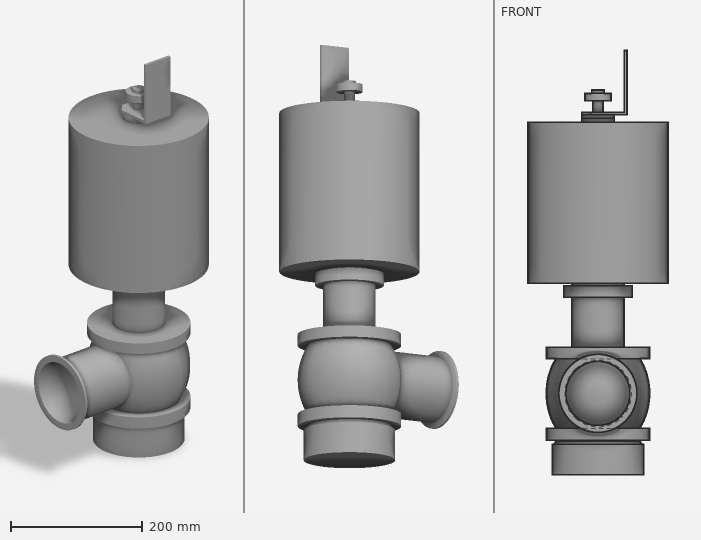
import cadquery as cq

base_dia = 139.5
base_top = 46.5
shoulder_dia = 134.0
shoulder_top = 51.0
neck_dia = 128.0
flange_dia = 158.0
lower_flange_bottom = 52.5
lower_flange_top = 71.0
upper_flange_bottom = 177.0
upper_flange_top = 194.5
bulb_end_dia = neck_dia
bulb_dia = flange_dia
bulb_mid_z = (lower_flange_top + upper_flange_bottom) / 2

stem_dia = 80.0
collar_dia = 105.0
collar_bottom = 270.0
collar_top = 288.0
actuator_dia = 214.0
actuator_bottom = 291.5
actuator_top = 537.0

overall_depth = 267.0
port_face_y = actuator_dia / 2 - overall_depth
port_dia = 101.5
port_bore_dia = 97.5
ferrule_dia = 119.0
ferrule_rim = 4.0
ferrule_length = 8.0

boss_dia = 50.0
boss_top = 543.0
bracket_bottom = 548.0
bracket_thickness = 4.5
bracket_top = 646.5
bracket_width = boss_dia
bracket_right_x = 44.5
bracket_corner = 13.5
spindle_dia = 16.0
knob_dia = 40.0
knob_bottom = 569.5
knob_top = 581.0
tip_dia = 19.5
tip_top = 586.0


def disc(diameter, bottom, top):
    """Cylinder on the Z axis between two heights."""
    return cq.Workplane("XY").workplane(offset=bottom).circle(diameter / 2).extrude(top - bottom)


def make_shoulder():
    """Short cone narrowing from the base to the neck."""
    return (
        cq.Workplane("XY")
        .workplane(offset=base_top)
        .circle(shoulder_dia / 2)
        .workplane(offset=shoulder_top - base_top)
        .circle(neck_dia / 2)
        .loft(ruled=True)
    )


def make_bulb():
    """Barrel-shaped chamber between the two flanges."""
    return (
        cq.Workplane("XZ")
        .moveTo(0, lower_flange_top)
        .lineTo(bulb_end_dia / 2, lower_flange_top)
        .threePointArc((bulb_dia / 2, bulb_mid_z), (bulb_end_dia / 2, upper_flange_bottom))
        .lineTo(0, upper_flange_bottom)
        .close()
        .revolve(360, (0, 0, 0), (0, 1, 0))
    )


def make_port():
    """Thin side tube with a tapered ferrule, starting at the valve axis."""
    return (
        cq.Workplane("XY", origin=(0, 0, bulb_mid_z))
        .moveTo(port_bore_dia / 2, 0)
        .lineTo(port_dia / 2, 0)
        .lineTo(port_dia / 2, port_face_y + ferrule_length)
        .lineTo(ferrule_dia / 2, port_face_y + ferrule_rim)
        .lineTo(ferrule_dia / 2, port_face_y)
        .lineTo(port_bore_dia / 2, port_face_y)
        .close()
        .revolve(360, (0, 0, 0), (0, 1, 0))
    )


def make_valve():
    """Base, flanged chamber, side port, stem, actuator and its top boss."""
    return (
        disc(base_dia, 0, base_top)
        .union(make_shoulder())
        .union(disc(neck_dia, shoulder_top, lower_flange_bottom))
        .union(disc(flange_dia, lower_flange_bottom, lower_flange_top))
        .union(make_bulb())
        .union(make_port())
        .union(disc(flange_dia, upper_flange_bottom, upper_flange_top))
        .union(disc(stem_dia, upper_flange_top, actuator_bottom))
        .union(disc(collar_dia, collar_bottom, collar_top))
        .union(disc(actuator_dia, actuator_bottom, actuator_top))
        .union(disc(boss_dia, actuator_top, boss_top))
    )


def make_bracket():
    """L-shaped plate with its two free foot corners cut off."""
    foot_left_x = -boss_dia / 2
    foot_top = bracket_bottom + bracket_thickness
    wall_left_x = bracket_right_x - bracket_thickness
    return (
        cq.Workplane("XZ")
        .moveTo(foot_left_x, bracket_bottom)
        .lineTo(bracket_right_x, bracket_bottom)
        .lineTo(bracket_right_x, bracket_top)
        .lineTo(wall_left_x, bracket_top)
        .lineTo(wall_left_x, foot_top)
        .lineTo(foot_left_x, foot_top)
        .close()
        .extrude(bracket_width / 2, both=True)
        .edges("|Z and <X")
        .chamfer(bracket_corner)
    )


def make_indicator():
    """Washer, bracket, spindle and knob that sit on the actuator boss."""
    return (
        disc(boss_dia, boss_top, bracket_bottom)
        .union(make_bracket())
        .union(disc(spindle_dia, bracket_bottom, knob_bottom))
        .union(disc(knob_dia, knob_bottom, knob_top))
        .union(disc(tip_dia, knob_top, tip_top))
    )


valve = make_valve()
indicator = make_indicator()
result = cq.Compound.makeCompound([valve.val(), indicator.val()])